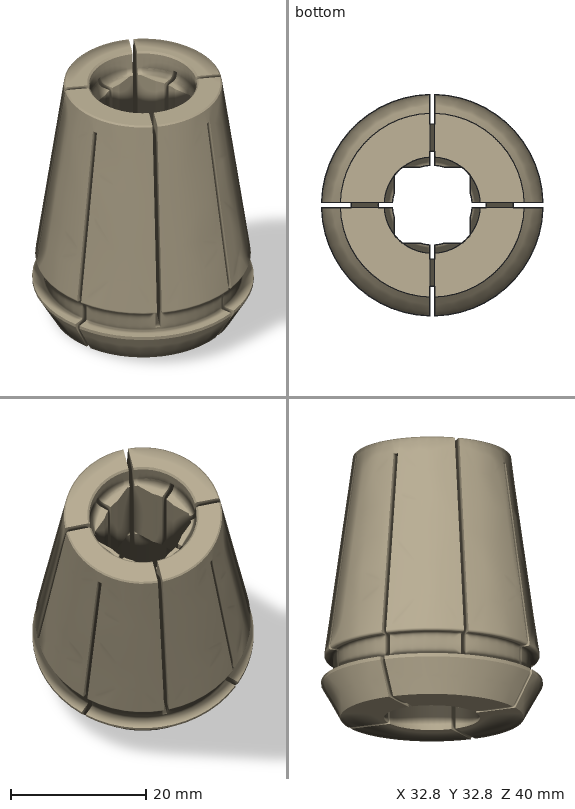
import cadquery as cq
import math

height = 40.0
base_radius = 13.6
top_radius = 11.7
top_edge_chamfer = 0.2

flange_radius = 16.4
flange_rim_bottom = 5.0
flange_top = 5.5

neck_radius = 14.65
groove_top = 9.2
groove_fillet = 0.25
neck_height = groove_top - flange_top

cone_angle = 8.0
lip_fillet = 0.3
cone_base_radius = top_radius + (height - groove_top) * math.tan(math.radians(cone_angle))

shank_radius = 7.1
square_side = 11.2
square_length = 14.0
relief_radius = 5.9
counterbore_radius = 7.95
counterbore_depth = 3.6
counterbore_fillet = 0.8
counterbore_chamfer = 0.3
recess_floor = height - counterbore_depth
square_floor = recess_floor - square_length

slot_width = 0.7
slot_length = 3 * flange_radius
lower_slot_top = 37.6
upper_slot_floor = 6.0


def make_body():
    """Revolved outside shape: nose flange, extraction groove and long cone."""
    nose = (
        cq.Workplane("XZ")
        .lineTo(base_radius, 0)
        .lineTo(flange_radius, flange_rim_bottom)
        .lineTo(flange_radius, flange_top)
        .lineTo(0, flange_top)
        .close()
        .revolve(360, (0, 0, 0), (0, 1, 0))
    )
    cone = (
        cq.Workplane("XZ", origin=(0, 0, groove_top))
        .lineTo(cone_base_radius, 0)
        .lineTo(top_radius, height - groove_top)
        .lineTo(0, height - groove_top)
        .close()
        .revolve(360, (0, 0, 0), (0, 1, 0))
        .faces("<Z").edges().fillet(lip_fillet)
        .faces(">Z").edges().chamfer(top_edge_chamfer)
    )
    flare_radius = neck_radius + groove_fillet
    neck = (
        cq.Workplane("XZ", origin=(0, 0, flange_top))
        .lineTo(flare_radius, 0)
        .radiusArc((neck_radius, groove_fillet), groove_fillet)
        .lineTo(neck_radius, neck_height - groove_fillet)
        .radiusArc((flare_radius, neck_height), groove_fillet)
        .lineTo(0, neck_height)
        .close()
        .revolve(360, (0, 0, 0), (0, 1, 0))
    )
    return nose.union(neck).union(cone)


def make_bore():
    """Through hole: round shank bore from the nose, then a square drive with relieved flats."""
    shank_bore = cq.Workplane("XY").circle(shank_radius).extrude(square_floor)
    square = (
        cq.Workplane("XY", origin=(0, 0, square_floor))
        .rect(square_side, square_side)
        .extrude(recess_floor - square_floor)
    )
    flat_relief = cq.Workplane("XY").circle(relief_radius).extrude(recess_floor)
    return shank_bore.union(square).union(flat_relief)


def make_counterbore():
    """Round recess in the small end with a rounded floor corner and a flared mouth."""
    recess = (
        cq.Workplane("XY", origin=(0, 0, recess_floor))
        .circle(counterbore_radius)
        .extrude(counterbore_depth)
        .faces("<Z").edges().fillet(counterbore_fillet)
    )
    mouth = cq.Workplane("XY").add(
        cq.Solid.makeCone(
            counterbore_radius,
            counterbore_radius + counterbore_chamfer,
            counterbore_chamfer,
            pnt=cq.Vector(0, 0, height - counterbore_chamfer),
        )
    )
    return recess.union(mouth)


def make_slots(floor, top, first_angle):
    """Two crossed slots through the whole width, between two heights."""
    blade = (
        cq.Workplane("XY", origin=(0, 0, floor))
        .rect(slot_length, slot_width)
        .extrude(top - floor)
        .rotate((0, 0, 0), (0, 0, 1), first_angle)
    )
    return blade.union(blade.rotate((0, 0, 0), (0, 0, 1), 90))


result = (
    make_body()
    .cut(make_bore())
    .cut(make_counterbore())
    .cut(make_slots(0, lower_slot_top, 0))
    .cut(make_slots(upper_slot_floor, height, 45))
)